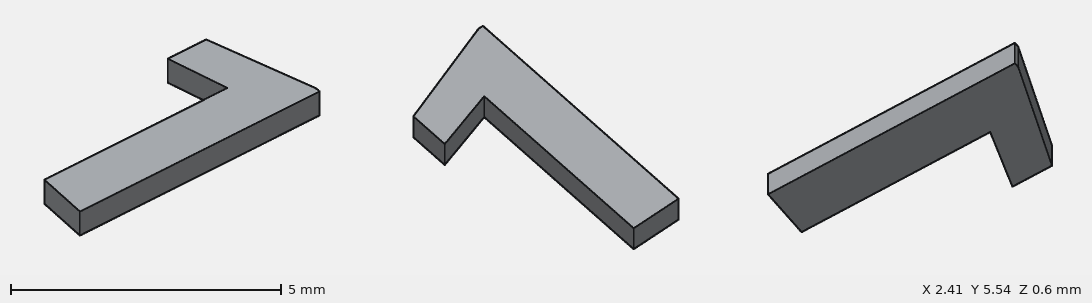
import cadquery as cq

width = 2.41
height = 5.54
thickness = 0.6

stem_width = 1.10
top_flat = 0.11
flag_top_drop = 0.82
flag_tip_height = 0.89
notch_drop = 1.31

right = width / 2
left = -width / 2
top = height / 2
bottom = -height / 2
stem_left = right - stem_width
flag_tip_top = top - flag_top_drop
flag_tip_bottom = flag_tip_top - flag_tip_height

outline = [
    (stem_left, bottom),
    (right, bottom),
    (right, top),
    (right - top_flat, top),
    (left, flag_tip_top),
    (left, flag_tip_bottom),
    (stem_left, top - notch_drop),
]

result = cq.Workplane("XY").polyline(outline).close().extrude(thickness)